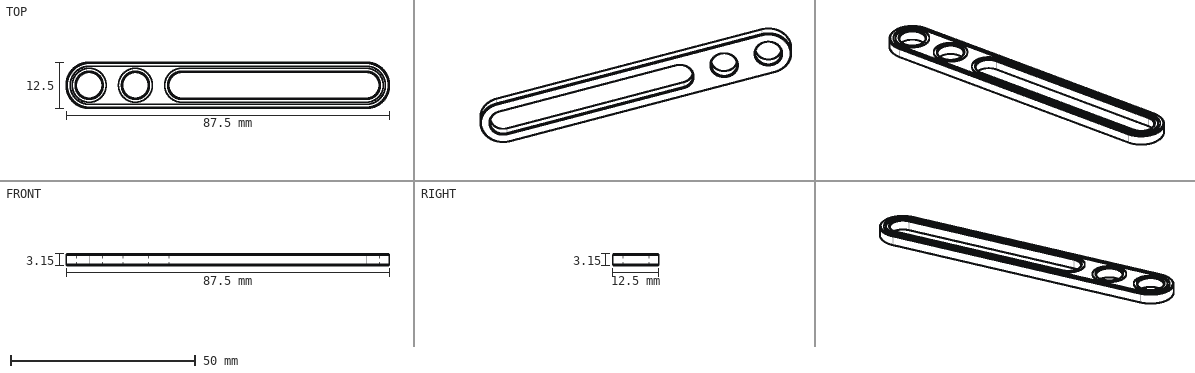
import cadquery as cq

length = 87.5
width = 12.5
thickness = 3.15
bore_diameter = 7.0
rim_diameter = 9.2
edge_chamfer = 0.3
recess_depth = 0.2

rim_width = (rim_diameter - bore_diameter) / 2
pitch = width
end_center = (length - width) / 2
first_hole_x = -end_center
second_hole_x = first_hole_x + pitch
slot_start_x = second_hole_x + pitch
slot_end_x = end_center


def rounded_bar(start_x, end_x, diameter, height):
    """Upright bar with semicircular ends centred on start_x and end_x, standing on Z = 0."""
    return (
        cq.Workplane("XY")
        .center((start_x + end_x) / 2, 0)
        .slot2D(end_x - start_x + diameter, diameter)
        .extrude(height)
    )


def openings(diameter, height):
    """The two round holes and the long slot as solids, all of one diameter."""
    holes = (
        cq.Workplane("XY")
        .pushPoints([(first_hole_x, 0), (second_hole_x, 0)])
        .circle(diameter / 2)
        .extrude(height)
    )
    return holes.union(rounded_bar(slot_start_x, slot_end_x, diameter, height))


plate = rounded_bar(-end_center, end_center, width, thickness)
plate = plate.cut(openings(bore_diameter, thickness))
plate = plate.faces("|Z").chamfer(edge_chamfer)

recess = rounded_bar(-end_center, end_center, width - 2 * rim_width, recess_depth)
recess = recess.cut(openings(rim_diameter, recess_depth))
recess = recess.translate((0, 0, thickness - recess_depth))

result = plate.cut(recess)